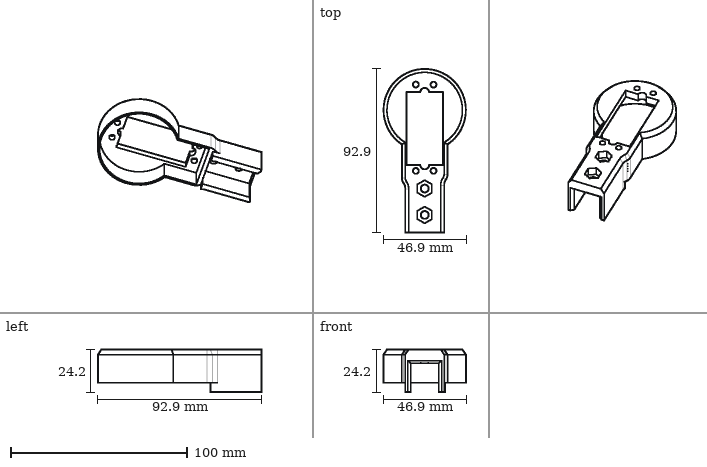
import cadquery as cq
import math


HEAD_RADIUS = 23.44
BODY_HEIGHT = 19.0
ARM_END_Y = -69.5
WIDE_HALF_WIDTH = 13.0
NARROW_HALF_WIDTH = 11.1
NECK_LENGTH = 6.0
LEFT_NECK_Y = -38.5
RIGHT_NECK_Y = -36.5
BEVEL_HEIGHT = 3.0
BEVEL_WIDTH = 2.0
TRIM_MARGIN = 5.0

WALL = 1.0
PLATE_THICKNESS = 5.0
CAVITY_END_Y = -38.0
WINDOW_WIDTH = 20.5
WINDOW_LENGTH = 41.3
WINDOW_CENTER_Y = -10.4
NOTCH_RADIUS = 2.45
NOTCH_SPACING = 41.2
NOTCH_CENTER_Y = -10.5
SCREW_DIAMETER = 3.2
SCREW_SPACING_X = 10.0
SCREW_SPACING_Y = 49.0
SCREW_CENTER_Y = -10.0

SKIRT_DEPTH = 5.2
SKIRT_START_Y = -40.45
CHANNEL_HALF_WIDTH = 7.9
ROOF_THICKNESS = 7.85
CHANNEL_ROOF = BODY_HEIGHT - ROOF_THICKNESS
FLARE_WIDTH = 1.8
FLARE_HEIGHT = 1.45
FLARE_DEPTH = 1.4

BOLT_DIAMETER = 4.3
BOLT_YS = (-44.5, -59.5)
NUT_ACROSS_FLATS = 8.2
NUT_DEPTH = 5.0


def box(x_min, x_max, y_min, y_max, z_min, z_max):
    """Axis-aligned block given by its limits."""
    size = (x_max - x_min, y_max - y_min, z_max - z_min)
    return cq.Workplane("XY").box(*size, centered=False).translate((x_min, y_min, z_min))


def arm_outline(z, end_y):
    """Closed wire of the arm from the head axis outward, with an S-shaped neck on each side."""
    mid_half_width = (WIDE_HALF_WIDTH + NARROW_HALF_WIDTH) / 2
    return (
        cq.Workplane("XY", origin=(0, 0, z))
        .moveTo(-WIDE_HALF_WIDTH, 0)
        .lineTo(WIDE_HALF_WIDTH, 0)
        .lineTo(WIDE_HALF_WIDTH, RIGHT_NECK_Y)
        .tangentArcPoint((mid_half_width, RIGHT_NECK_Y - NECK_LENGTH / 2), relative=False)
        .tangentArcPoint((NARROW_HALF_WIDTH, RIGHT_NECK_Y - NECK_LENGTH), relative=False)
        .lineTo(NARROW_HALF_WIDTH, end_y)
        .lineTo(-NARROW_HALF_WIDTH, end_y)
        .lineTo(-NARROW_HALF_WIDTH, LEFT_NECK_Y - NECK_LENGTH)
        .tangentArcPoint((-mid_half_width, LEFT_NECK_Y - NECK_LENGTH / 2), relative=False)
        .tangentArcPoint((-WIDE_HALF_WIDTH, LEFT_NECK_Y), relative=False)
        .close()
    )


def body():
    """Round head and arm with a bevelled top rim; the arm end is cut square, without a bevel."""
    bevel_start = BODY_HEIGHT - BEVEL_HEIGHT
    bevel_angle = math.degrees(math.atan2(BEVEL_WIDTH, BEVEL_HEIGHT))
    head = (
        cq.Workplane("XY").circle(HEAD_RADIUS).extrude(BODY_HEIGHT)
        .faces(">Z").chamfer(BEVEL_HEIGHT, BEVEL_WIDTH)
    )
    arm = arm_outline(0, ARM_END_Y).extrude(bevel_start)
    arm_top = arm_outline(bevel_start, ARM_END_Y - TRIM_MARGIN).extrude(BEVEL_HEIGHT, taper=bevel_angle)
    overhang = box(
        -HEAD_RADIUS, HEAD_RADIUS, ARM_END_Y - TRIM_MARGIN, ARM_END_Y, bevel_start, BODY_HEIGHT
    )
    return head.union(arm).union(arm_top.cut(overhang))


def skirt():
    """Part of the arm that reaches below the body; its left side stays flat past the neck."""
    envelope = box(
        -NARROW_HALF_WIDTH, WIDE_HALF_WIDTH, ARM_END_Y, SKIRT_START_Y, -SKIRT_DEPTH, 0
    )
    return arm_outline(-SKIRT_DEPTH, ARM_END_Y).extrude(SKIRT_DEPTH).intersect(envelope)


def servo_cavity():
    """Hollow under the plate: round in the head, straight in the wide arm."""
    roof = BODY_HEIGHT - PLATE_THICKNESS
    half_width = WIDE_HALF_WIDTH - WALL
    round_part = cq.Workplane("XY").circle(HEAD_RADIUS - WALL).extrude(roof)
    return round_part.union(box(-half_width, half_width, CAVITY_END_Y, 0, 0, roof))


def servo_window():
    """Rectangular opening with a round notch in the middle of each short side."""
    window = (
        cq.Workplane("XY").center(0, WINDOW_CENTER_Y).rect(WINDOW_WIDTH, WINDOW_LENGTH)
        .extrude(BODY_HEIGHT)
    )
    notches = (
        cq.Workplane("XY").center(0, NOTCH_CENTER_Y).rarray(1, NOTCH_SPACING, 1, 2)
        .circle(NOTCH_RADIUS).extrude(BODY_HEIGHT)
    )
    return window.union(notches)


def servo_screw_holes():
    """Four screw holes, two beyond each short side of the window."""
    return (
        cq.Workplane("XY").center(0, SCREW_CENTER_Y)
        .rarray(SCREW_SPACING_X, SCREW_SPACING_Y, 2, 2)
        .circle(SCREW_DIAMETER / 2).extrude(BODY_HEIGHT)
    )


def channel_section(y, widening, raising):
    """Rectangle across the channel at the given Y, grown at its sides and roof."""
    half_width = CHANNEL_HALF_WIDTH + widening
    roof = CHANNEL_ROOF + raising
    corners = [
        (-half_width, -SKIRT_DEPTH),
        (half_width, -SKIRT_DEPTH),
        (half_width, roof),
        (-half_width, roof),
    ]
    points = [cq.Vector(x, y, z) for x, z in corners]
    return cq.Wire.makePolygon(points, close=True)


def channel():
    """Channel along the underside of the arm, flared at its open end."""
    straight = box(
        -CHANNEL_HALF_WIDTH, CHANNEL_HALF_WIDTH, ARM_END_Y, SKIRT_START_Y, -SKIRT_DEPTH, CHANNEL_ROOF
    )
    mouth = channel_section(ARM_END_Y, FLARE_WIDTH, FLARE_HEIGHT)
    throat = channel_section(ARM_END_Y + FLARE_DEPTH, 0, 0)
    flare = cq.Solid.makeLoft([mouth, throat], True)
    return straight.union(cq.Workplane(flare))


def nut_and_bolt(y):
    """Bolt hole through the arm with a hexagon nut pocket, corners along Y."""
    bolt = cq.Workplane("XY").center(0, y).circle(BOLT_DIAMETER / 2).extrude(BODY_HEIGHT)
    corner_diameter = NUT_ACROSS_FLATS / math.cos(math.pi / 6)
    nut = (
        cq.Workplane("XY").polygon(6, corner_diameter).extrude(NUT_DEPTH)
        .rotate((0, 0, 0), (0, 0, 1), 90)
        .translate((0, y, BODY_HEIGHT - NUT_DEPTH))
    )
    return bolt.union(nut)


result = body().union(skirt())
result = result.cut(servo_cavity()).cut(servo_window()).cut(servo_screw_holes()).cut(channel())
for bolt_y in BOLT_YS:
    result = result.cut(nut_and_bolt(bolt_y))